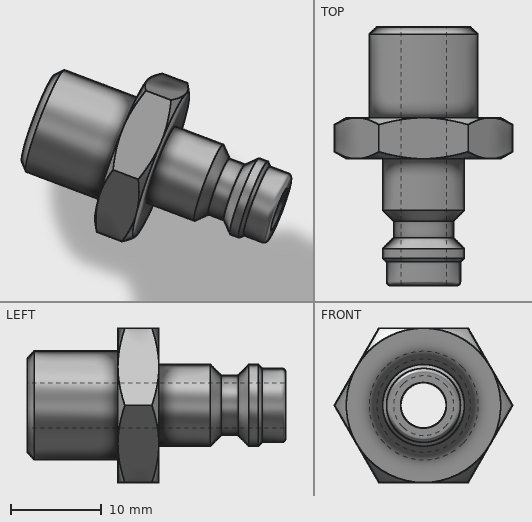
import cadquery as cq
import math

total_length = 28.5
bore_diameter = 5.0

tip_diameter = 8.15
tip_rounding = 0.48
body_diameter = 9.0
neck_diameter = 6.6
tip_end = 2.62
collar_start = 3.05
collar_end = 4.08
neck_start = 5.27
neck_end = 7.12
body_start = 8.32

hex_across_corners = 19.65
hex_across_flats = hex_across_corners * math.cos(math.radians(30))
hex_start = 14.0
hex_width = 4.5
hex_end = hex_start + hex_width
hex_chamfer_angle = 30

shank_diameter = 12.0
shank_chamfer_radial = 0.85
shank_chamfer_length = 0.8


def revolve_about_y(points):
    """Close an outline of (radius, y) points and revolve it about the Y axis."""
    outline = cq.Workplane("XY").polyline(points).close()
    return outline.revolve(360, (0, 0, 0), (0, 1, 0))


def make_plug():
    tip_radius = tip_diameter / 2
    body_radius = body_diameter / 2
    neck_radius = neck_diameter / 2
    plug = revolve_about_y([
        (0, 0),
        (tip_radius, 0),
        (tip_radius, tip_end),
        (body_radius, collar_start),
        (body_radius, collar_end),
        (neck_radius, neck_start),
        (neck_radius, neck_end),
        (body_radius, body_start),
        (body_radius, hex_end),
        (0, hex_end),
    ])
    return plug.faces("<Y").edges().fillet(tip_rounding)


def make_hexagon():
    prism = (
        cq.Workplane("XZ", origin=(0, hex_start, 0))
        .polygon(6, hex_across_corners)
        .extrude(-hex_width)
    )
    flat_radius = hex_across_flats / 2
    envelope_radius = hex_across_corners / 2
    chamfer_depth = (envelope_radius - flat_radius) * math.tan(math.radians(hex_chamfer_angle))
    envelope = revolve_about_y([
        (0, hex_start),
        (flat_radius, hex_start),
        (envelope_radius, hex_start + chamfer_depth),
        (envelope_radius, hex_end - chamfer_depth),
        (flat_radius, hex_end),
        (0, hex_end),
    ])
    return prism.intersect(envelope)


def make_shank():
    shank_radius = shank_diameter / 2
    return revolve_about_y([
        (0, hex_start),
        (shank_radius, hex_start),
        (shank_radius, total_length - shank_chamfer_length),
        (shank_radius - shank_chamfer_radial, total_length),
        (0, total_length),
    ])


bore = cq.Workplane("XZ").circle(bore_diameter / 2).extrude(-total_length)

result = make_plug().union(make_hexagon()).union(make_shank()).cut(bore)